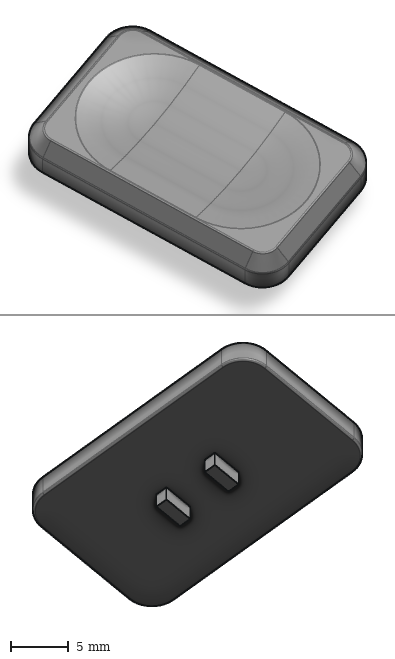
import cadquery as cq

length = 26.55
width = 16.55
total_height = 5.15
peg_height = 1.65
body_height = total_height - peg_height
corner_radius = 2.73
bevel = 1.27
edge_round = 0.2

dish_rim_radius = 6.85
dish_straight = 8.95
dish_depth = 0.85
dish_sphere_radius = (dish_rim_radius**2 + dish_depth**2) / (2 * dish_depth)

peg_thickness = 1.2
peg_width = 3.0
peg_spacing = 5.7
peg_overlap = 0.27


def make_body():
    slab = (
        cq.Workplane("XY")
        .box(length, width, body_height, centered=(True, True, False))
        .edges("|Z")
        .fillet(corner_radius)
    )
    return slab.faces(">Z").edges().chamfer(bevel)


def make_dish_cutter():
    """Shallow bowl below the top face, stretched along X."""
    half_straight = dish_straight / 2
    dish_bottom = body_height - dish_depth
    profile = (
        cq.Workplane("XZ")
        .moveTo(0, dish_bottom)
        .radiusArc((dish_rim_radius, body_height), -dish_sphere_radius)
        .lineTo(0, body_height)
        .close()
    )
    cap = profile.revolve(360, (0, 0, 0), (0, 1, 0))
    trough = (
        cq.Workplane("YZ", origin=(-half_straight, 0, 0))
        .moveTo(-dish_rim_radius, body_height)
        .threePointArc((0, dish_bottom), (dish_rim_radius, body_height))
        .close()
        .extrude(dish_straight)
    )
    left_cap = cap.translate((-half_straight, 0, 0))
    right_cap = cap.translate((half_straight, 0, 0))
    return trough.union(left_cap).union(right_cap)


def make_peg(x):
    return (
        cq.Workplane("XY", origin=(x, 0, -peg_height))
        .box(peg_thickness, peg_width, peg_height + peg_overlap, centered=(True, True, False))
    )


def round_level(solid, level):
    """Round every edge lying in the horizontal plane at this height."""
    tolerance = 0.003
    level_edges = cq.selectors.BoxSelector(
        (-length, -width, level - tolerance),
        (length, width, level + tolerance),
        boundingbox=True,
    )
    return solid.edges(level_edges).fillet(edge_round)


result = make_body().cut(make_dish_cutter())

bevel_foot = body_height - bevel
for edge_level in (body_height, bevel_foot, 0):
    result = round_level(result, edge_level)

for peg_x in (-peg_spacing / 2, peg_spacing / 2):
    result = result.union(make_peg(peg_x))